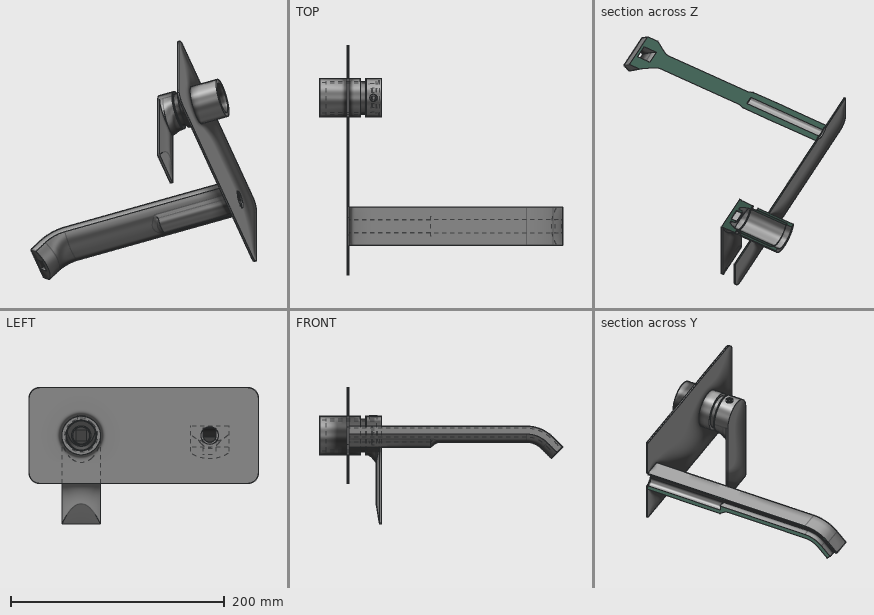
import cadquery as cq
import math


plate_length = 215.0
plate_height = 90.0
plate_thickness = 1.5
plate_back_x = 25.7
plate_corner_radius = 10.3
plate_front_x = plate_back_x + plate_thickness
inlet_opening_radius = 8.2

control_y = 58.5
control_diameter = 36.2
control_radius = control_diameter / 2
sleeve_length = 38.3
sleeve_lip_length = 6.0
sleeve_lip_bore_radius = 14.4
neck_radius = 15.5
neck_bore_radius = 13.7
ring_back_x = 43.0
ring_thickness = 1.0
handle_back_x = ring_back_x + ring_thickness
handle_front_x = 58.0

overall_height = 128.0
lever_bottom_z = plate_height / 2 - overall_height
lever_edge_thickness = 2.0
lever_crown = 3.2
lever_flare_drop = 7.0
lever_flare_sections = 4
lever_taper_height = 19.1
lever_corner_radius = 1.5
lever_thickness = lever_edge_thickness + lever_crown

cavity_depth = 9.0
cavity_tilt = 45
hub_radius = 9.0
hub_height = 4.5
hub_chamfer = 1.1
socket_width = 10.3
socket_depth = 5.7

screw_x = 50.3
screw_radius = 3.5
screw_length = 3.5
screw_proud = 0.7
screw_hex_size = 4.3
screw_hex_depth = 1.4

spout_y = -61.7
spout_width = control_diameter
spout_top_z = 8.9
spout_edge_thickness = 7.5
spout_belly = 7.7
spout_bend_x = 193.6
spout_bend_radius = 35.0
spout_bend_angle = 45
spout_tip_x = 227.8
spout_corner_radius = 0.7
spout_edge_z = spout_top_z - spout_edge_thickness
spout_bottom_z = spout_edge_z - spout_belly

boss_diameter = 22.0
boss_radius = boss_diameter / 2
boss_end_x = 103.9
boss_taper_angle = 38
boss_fillet = 8.0
bore_radius = 6.2
channel_floor_z = -1.4
channel_roof_z = 6.8


def x_cylinder(radius, start_x, end_x, y):
    """Cylinder along X, centred at the given y and at z = 0."""
    return cq.Workplane("YZ", origin=(start_x, y, 0)).circle(radius).extrude(end_x - start_x)


def make_plate():
    plate = (
        cq.Workplane("YZ", origin=(plate_back_x, 0, 0))
        .rect(plate_length, plate_height)
        .extrude(plate_thickness)
        .edges("|X")
        .fillet(plate_corner_radius)
    )
    sleeve_opening = x_cylinder(control_radius, plate_back_x, plate_front_x, control_y)
    inlet_opening = x_cylinder(inlet_opening_radius, plate_back_x, plate_front_x, spout_y)
    return plate.cut(sleeve_opening).cut(inlet_opening)


def make_sleeve():
    sleeve = x_cylinder(control_radius, 0, sleeve_length, control_y)
    lip_bore = x_cylinder(sleeve_lip_bore_radius, 0, sleeve_lip_length, control_y)
    neck_seat = x_cylinder(neck_radius, sleeve_lip_length, sleeve_length, control_y)
    return sleeve.cut(lip_bore).cut(neck_seat)


def make_neck():
    neck = x_cylinder(neck_radius, sleeve_lip_length, ring_back_x, control_y)
    return neck.cut(x_cylinder(neck_bore_radius, sleeve_lip_length, ring_back_x, control_y))


def make_ring():
    ring = x_cylinder(control_radius, ring_back_x, handle_back_x, control_y)
    return ring.cut(x_cylinder(neck_bore_radius, ring_back_x, handle_back_x, control_y))


def make_lever():
    """Flat-fronted blade with a crowned back that thins towards its lower end."""
    edge_x = handle_front_x - lever_edge_thickness
    blade = (
        cq.Workplane("XY", origin=(0, control_y, 0))
        .moveTo(handle_front_x, -control_radius)
        .lineTo(handle_front_x, control_radius)
        .lineTo(edge_x, control_radius)
        .threePointArc((edge_x - lever_crown, 0), (edge_x, -control_radius))
        .close()
        .extrude(lever_bottom_z)
        .faces("<Z")
        .edges("|X")
        .fillet(lever_corner_radius)
    )
    taper = (
        cq.Workplane("XZ", origin=(0, control_y, 0))
        .moveTo(edge_x, lever_bottom_z)
        .lineTo(edge_x - lever_crown, lever_bottom_z + lever_taper_height)
        .lineTo(edge_x - lever_crown, lever_bottom_z)
        .close()
        .extrude(control_radius, both=True)
    )
    return blade.cut(taper)


def make_lever_flare():
    """Concave flare from the handle down to the lever: half-ovals that deepen along a parabola."""
    edge_x = handle_front_x - lever_edge_thickness
    flare_length = handle_front_x - lever_thickness - handle_back_x
    section_gap = flare_length / lever_flare_sections

    flare = cq.Workplane("YZ", origin=(handle_back_x, control_y, 0)).circle(control_radius)
    for section in range(1, lever_flare_sections + 1):
        drop = lever_flare_drop * (section / lever_flare_sections) ** 2
        flare = flare.workplane(offset=section_gap).ellipse(control_radius, control_radius + drop)
    flare = flare.loft()

    root = (
        cq.Workplane("YZ", origin=(handle_back_x + flare_length, control_y, 0))
        .ellipse(control_radius, control_radius + lever_flare_drop)
        .extrude(lever_crown)
    )
    lower_half = (
        cq.Workplane("XY", origin=(handle_back_x, control_y, 0))
        .rect(2 * (edge_x - handle_back_x), 2 * control_radius)
        .extrude(-2 * control_radius)
    )
    return flare.union(root).intersect(lower_half)


def make_cavity():
    """Recess in the back of the handle whose lower wall slopes up; a hub is left standing in it."""
    floor_x = handle_back_x + cavity_depth
    straight_bore = x_cylinder(neck_bore_radius, handle_back_x, floor_x, control_y)
    tilted_bore = (
        cq.Workplane("YZ")
        .circle(neck_bore_radius)
        .extrude(2 * control_radius, both=True)
        .rotate((0, 0, 0), (0, 1, 0), -cavity_tilt)
        .translate((handle_back_x, control_y, 0))
    )
    hub = x_cylinder(hub_radius, floor_x - hub_height, floor_x, control_y)
    hub = hub.faces("<X").chamfer(hub_chamfer)
    return straight_bore.intersect(tilted_bore).cut(hub)


def make_handle():
    handle = x_cylinder(control_radius, handle_back_x, handle_front_x, control_y)
    handle = handle.union(make_lever_flare(), clean=False).union(make_lever(), clean=False)
    handle = handle.cut(make_cavity())
    hub_end_x = handle_back_x + cavity_depth - hub_height
    socket = (
        cq.Workplane("YZ", origin=(hub_end_x, control_y, 0))
        .rect(socket_width, socket_width)
        .extrude(socket_depth)
    )
    return handle.cut(socket).cut(screw_blank())


def screw_blank():
    """Outer shape of the set screw, which is also the hole that it fills."""
    screw_top_z = control_radius + screw_proud
    return (
        cq.Workplane("XY", origin=(screw_x, control_y, screw_top_z))
        .circle(screw_radius)
        .extrude(-screw_length)
    )


def make_set_screw():
    return (
        screw_blank()
        .faces(">Z")
        .workplane()
        .polygon(6, screw_hex_size)
        .cutBlind(-screw_hex_depth)
    )


def spout_path():
    """Top line of the spout at its middle: straight, bent down, then straight to the tip."""
    bend = math.radians(spout_bend_angle)
    bend_end_x = spout_bend_x + spout_bend_radius * math.sin(bend)
    bend_end_z = spout_top_z - spout_bend_radius * (1 - math.cos(bend))
    tip_drop = (spout_tip_x - bend_end_x) * math.tan(bend)
    return (
        cq.Workplane("XZ", origin=(0, spout_y, 0))
        .moveTo(plate_front_x, spout_top_z)
        .lineTo(spout_bend_x, spout_top_z)
        .threePointArc(
            (
                spout_bend_x + spout_bend_radius * math.sin(bend / 2),
                spout_top_z - spout_bend_radius * (1 - math.cos(bend / 2)),
            ),
            (bend_end_x, bend_end_z),
        )
        .lineTo(spout_tip_x, bend_end_z - tip_drop)
    )


def make_spout_arm():
    """Flat-topped arm with a bellied underside; its long top edges and the sides of its tip are rounded."""
    half_width = spout_width / 2
    tip_sides = cq.selectors.BoxSelector(
        (spout_tip_x - spout_edge_thickness, -plate_length, -plate_height),
        (spout_tip_x, plate_length, spout_top_z),
    )
    return (
        cq.Workplane("YZ", origin=(plate_front_x, spout_y, 0))
        .moveTo(-half_width, spout_top_z)
        .lineTo(half_width, spout_top_z)
        .lineTo(half_width, spout_edge_z)
        .threePointArc((0, spout_bottom_z), (-half_width, spout_edge_z))
        .close()
        .sweep(spout_path())
        .edges("#Y")
        .edges(tip_sides)
        .fillet(spout_corner_radius)
    )


def make_inlet_boss():
    """Round boss about the inlet bore, tapered off at its far end and kept below the arm's top."""
    tip_length = (boss_radius - bore_radius) / math.tan(math.radians(boss_taper_angle))
    boss = (
        cq.Workplane("XY", origin=(0, spout_y, 0))
        .moveTo(plate_front_x, 0)
        .lineTo(plate_front_x, boss_radius)
        .lineTo(boss_end_x, boss_radius)
        .lineTo(boss_end_x + tip_length, bore_radius)
        .lineTo(boss_end_x + tip_length, 0)
        .close()
        .revolve(360, (0, 0, 0), (1, 0, 0))
    )
    above_edge = (
        cq.Workplane("XY", origin=(0, spout_y, spout_edge_z))
        .rect(2 * spout_tip_x, spout_width)
        .extrude(boss_radius)
    )
    return boss.cut(above_edge)


def make_channel():
    """Flat-roofed channel that follows the bend of the arm and opens at its tip."""
    return (
        cq.Workplane("YZ", origin=(plate_front_x, spout_y, (channel_floor_z + channel_roof_z) / 2))
        .rect(2 * bore_radius, channel_roof_z - channel_floor_z)
        .sweep(spout_path())
    )


def make_spout():
    spout = make_spout_arm().union(make_inlet_boss())
    boss_outline = cq.selectors.BoxSelector(
        (plate_front_x + boss_radius, spout_y - boss_radius, spout_bottom_z),
        (boss_end_x + boss_radius, spout_y + boss_radius, 0),
    )
    spout = spout.edges(boss_outline).fillet(boss_fillet)
    bore = x_cylinder(bore_radius, plate_front_x, boss_end_x, spout_y)
    return spout.cut(bore).cut(make_channel())


plate = make_plate()
sleeve = make_sleeve()
neck = make_neck()
ring = make_ring()
handle = make_handle()
set_screw = make_set_screw()
spout = make_spout()

result = cq.Compound.makeCompound(
    [
        plate.val(),
        sleeve.val(),
        neck.val(),
        ring.val(),
        handle.val(),
        set_screw.val(),
        spout.val(),
    ]
)